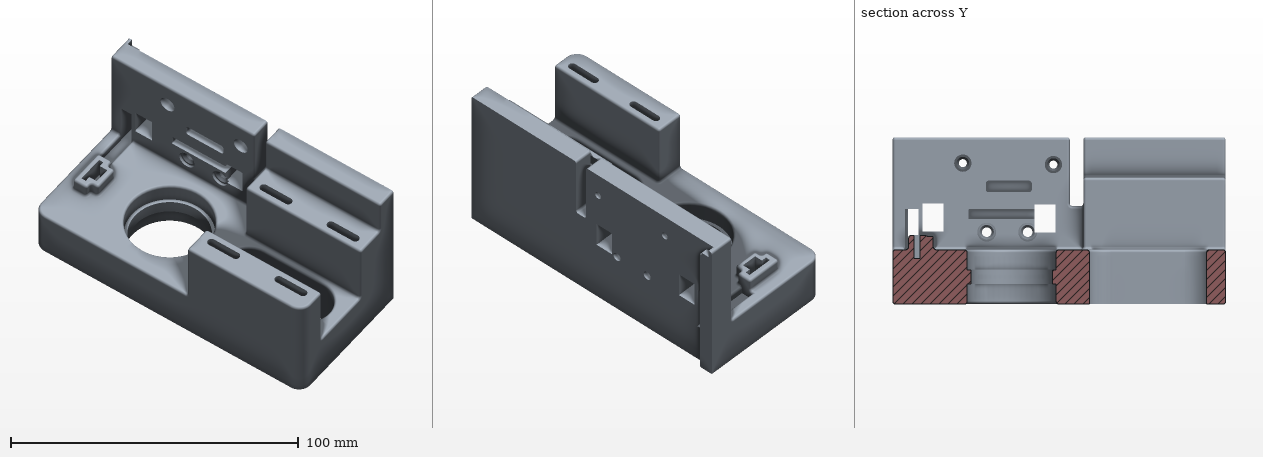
import cadquery as cq

LENGTH = 115.89
DEPTH = 56.5
HEIGHT = 58.0
BASE_TOP = 19.0
CORNER_RADIUS = 5.0
EDGE_RADIUS = 1.0
TOLERANCE = 0.01

WALL_FRONT = 46.0
WALL_BACK = 54.0
NOTCH_LEFT = 61.7
NOTCH_FLOOR = 34.05

FLANGE_WIDTH = 5.5
FLANGE_LIP = 1.5
FLANGE_LEDGE = 4.75
FLANGE_LEDGE_TOP = 55.0
FLANGE_STEP_TOP = 54.0

BLOCK_LENGTH = 49.5
BLOCK_LEFT = LENGTH - BLOCK_LENGTH
BLOCK_TOP = 44.0
BLOCK_WIDTH = 11.5
CHANNEL_CENTER = 2 * BLOCK_WIDTH
REAR_BLOCK_FRONT = 3 * BLOCK_WIDTH

STRAP_SLOT_LENGTH = 13.5
STRAP_SLOT_WIDTH = 3.0
STRAP_SLOT_XS = (76.65, 105.55)
STRAP_SLOT_OFFSET = 15.45

RING_CENTER = (41.4, 24.0)
RING_DIAMETER = 32.0
RING_LIP_DIAMETER = 29.5
RING_RECESS_DEPTH = 7.0
OVAL_WIDTH = 18.0
OVAL_LENGTH = 44.0
OVAL_CENTER_X = 88.8

HOUSING_LEFT = 5.5
HOUSING_HEIGHT = 5.0
HOUSING_TOP = BASE_TOP + HOUSING_HEIGHT
HOUSING_CENTER_Y = 23.55
HOUSING_BODY = (5.9, 15.0)
HOUSING_NOSE = (3.1, 10.0)
POCKET_LEFT = 7.6
POCKET_BODY = (1.85, 10.4)
POCKET_NOSE = (3.2, 6.2)

GROOVE_LEFT = 4.35
GROOVE_RIGHT = 9.1
GROOVE_FLOOR = 16.0
CABLE_WINDOW_TOP = 33.1

WINDOW_SIZE = (7.3, 9.8)
WINDOW_CORNERS = ((10.5, 25.2), (49.4, 24.8))

RECESS_DEPTH = 5.0
UPPER_RECESS = (32.5, 38.9, 16.0, 4.0)
UPPER_RECESS_RADIUS = 1.0
LOWER_RECESS = (26.4, 29.5, 24.0, 3.6)
LOWER_RECESS_RADIUS = 0.5

UPPER_SCREWS = ((24.5, 49.0), (56.0, 48.5))
UPPER_SCREW_SHAPE = dict(bore=2.77, cone=4.4, head=6.0, head_depth=5.0)
LOWER_SCREWS = ((32.8, 25.0), (47.05, 25.0))
LOWER_SCREW_SHAPE = dict(bore=3.32, cone=5.0, head=6.5, head_depth=1.0)
CONE_DEPTH = 1.0


def box(x0, x1, y0, y1, z0, z1):
    """Box between opposite corners."""
    return cq.Workplane("XY").box(x1 - x0, y1 - y0, z1 - z0, centered=False).translate((x0, y0, z0))


def make_t_prism(left, body_size, nose_size, z0, z1):
    """T-shaped prism: a wide body with a narrower nose on its right; sizes are along (X, Y)."""
    body_length, body_width = body_size
    nose_length, nose_width = nose_size
    body_right = left + body_length
    nose_right = body_right + nose_length
    center = HOUSING_CENTER_Y
    body = box(left, body_right, center - body_width / 2, center + body_width / 2, z0, z1)
    nose = box(left, nose_right, center - nose_width / 2, center + nose_width / 2, z0, z1)
    return body.union(nose)


def make_sharp_body():
    """Base, wall, flange, blocks, housing and cable groove before edge rounding."""
    body = box(0, LENGTH, 0, WALL_BACK, 0, BASE_TOP)
    body = body.union(box(0, NOTCH_LEFT, WALL_FRONT, WALL_BACK, 0, HEIGHT))
    body = body.union(box(NOTCH_LEFT, BLOCK_LEFT, WALL_FRONT, WALL_BACK, 0, NOTCH_FLOOR))
    body = body.union(box(BLOCK_LEFT, LENGTH, WALL_FRONT, WALL_BACK, 0, HEIGHT))
    body = body.union(box(0, FLANGE_WIDTH, WALL_FRONT, DEPTH, 0, HEIGHT))
    body = body.union(box(BLOCK_LEFT, LENGTH, 0, BLOCK_WIDTH, 0, BLOCK_TOP))
    body = body.union(box(BLOCK_LEFT, LENGTH, REAR_BLOCK_FRONT, WALL_FRONT, 0, BLOCK_TOP))
    body = body.clean()
    body = body.edges("(|Z and <Y) and (<X or >X)").fillet(CORNER_RADIUS)
    housing = make_t_prism(HOUSING_LEFT, HOUSING_BODY, HOUSING_NOSE, 0, HOUSING_TOP)
    body = body.union(housing)
    groove_end = HOUSING_CENTER_Y + HOUSING_BODY[1] / 2
    return body.cut(box(GROOVE_LEFT, GROOVE_RIGHT, groove_end, WALL_FRONT, GROOVE_FLOOR, BASE_TOP))


def should_round(edge):
    """True for edges around the bottom, or above the base top and ahead of the wall's back face."""
    bounds = edge.BoundingBox()
    on_bottom = bounds.zmax < TOLERANCE
    above_base = bounds.zmin > BASE_TOP - TOLERANCE
    on_back = bounds.ymin > WALL_BACK - TOLERANCE
    return on_bottom or (above_base and not on_back)


def round_edges(body):
    """Round convex edges and inside corners alike with one radius."""
    edges = [edge for edge in body.edges().vals() if should_round(edge)]
    return body.newObject(edges).fillet(EDGE_RADIUS)


def make_flange_step():
    """Space above the stepped top of the flange, beside its full-height lip."""
    ledge = box(FLANGE_LIP, FLANGE_LEDGE, WALL_BACK, DEPTH, FLANGE_LEDGE_TOP, HEIGHT)
    step = box(FLANGE_LEDGE, FLANGE_WIDTH, WALL_BACK, DEPTH, FLANGE_STEP_TOP, HEIGHT)
    return ledge.union(step)


def cut_ring_hole(body):
    """Rounded recesses from the top and bottom that leave a narrower lip between them."""
    x, y = RING_CENTER
    lip = cq.Workplane("XY", origin=(x, y, 0)).circle(RING_LIP_DIAMETER / 2).extrude(BASE_TOP)
    recess = cq.Workplane("XY", origin=(x, y, 0)).circle(RING_DIAMETER / 2).extrude(RING_RECESS_DEPTH)
    body = body.cut(recess.translate((0, 0, BASE_TOP - RING_RECESS_DEPTH)))
    body = body.cut(recess)
    body = round_rim(body, x, y, BASE_TOP)
    body = round_rim(body, x, y, 0)
    return body.cut(lip)


def cut_oval_hole(body):
    """Long through hole, rounded at its top, between the two blocks."""
    oval = (
        cq.Workplane("XY", origin=(OVAL_CENTER_X, CHANNEL_CENTER, 0))
        .slot2D(OVAL_LENGTH, OVAL_WIDTH)
        .extrude(BASE_TOP)
    )
    return round_rim(body.cut(oval), OVAL_CENTER_X, CHANNEL_CENTER, BASE_TOP)


def round_rim(body, x, y, z):
    """Round the rim, at one height, of the ring hole or the oval hole centered on (x, y).

    The search box holds the midpoint of the circular rim, or of the oval's straight sides,
    and stops short of the feet of the blocks.
    """
    reach = OVAL_WIDTH / 2 + TOLERANCE
    rim = cq.selectors.BoxSelector(
        (x - reach, y - reach, z - TOLERANCE), (x + reach, y + reach, z + TOLERANCE)
    )
    return body.edges(rim).fillet(EDGE_RADIUS)


def make_strap_slots():
    """Vertical slots through the two blocks and the base."""
    centers = [(x, CHANNEL_CENTER + side * STRAP_SLOT_OFFSET) for x in STRAP_SLOT_XS for side in (-1, 1)]
    return (
        cq.Workplane("XY")
        .pushPoints(centers)
        .slot2D(STRAP_SLOT_LENGTH, STRAP_SLOT_WIDTH)
        .extrude(BLOCK_TOP)
    )


def make_wall_openings():
    """Cable window and rectangular windows through the wall."""
    foot_front = WALL_FRONT - EDGE_RADIUS
    openings = box(GROOVE_LEFT, GROOVE_RIGHT, foot_front, WALL_BACK, GROOVE_FLOOR, CABLE_WINDOW_TOP)
    width, height = WINDOW_SIZE
    for left, bottom in WINDOW_CORNERS:
        openings = openings.union(box(left, left + width, WALL_FRONT, WALL_BACK, bottom, bottom + height))
    return openings


def make_recess(left, bottom, width, height, radius):
    """Blind recess with rounded ends in the front of the wall."""
    recess = box(left, left + width, WALL_FRONT, WALL_FRONT + RECESS_DEPTH, bottom, bottom + height)
    return recess.edges("|Y").fillet(radius)


def make_screw_hole(x, z, bore, cone, head, head_depth):
    """Through bore, conical lead-in and cylindrical head recess, revolved about Y."""
    cone_end = WALL_FRONT + head_depth + CONE_DEPTH
    return (
        cq.Workplane("XY")
        .moveTo(0, WALL_FRONT)
        .lineTo(head / 2, WALL_FRONT)
        .lineTo(head / 2, WALL_FRONT + head_depth)
        .lineTo(cone / 2, WALL_FRONT + head_depth)
        .lineTo(bore / 2, cone_end)
        .lineTo(bore / 2, WALL_BACK)
        .lineTo(0, WALL_BACK)
        .close()
        .revolve(360, (0, 0, 0), (0, 1, 0))
        .translate((x, 0, z))
    )


result = round_edges(make_sharp_body())
result = result.cut(make_flange_step())
result = cut_ring_hole(result)
result = cut_oval_hole(result)
result = result.cut(make_strap_slots())
result = result.cut(make_t_prism(POCKET_LEFT, POCKET_BODY, POCKET_NOSE, GROOVE_FLOOR, HOUSING_TOP))
result = result.cut(make_wall_openings())
result = result.cut(make_recess(*UPPER_RECESS, UPPER_RECESS_RADIUS))
result = result.cut(make_recess(*LOWER_RECESS, LOWER_RECESS_RADIUS))
for x, z in UPPER_SCREWS:
    result = result.cut(make_screw_hole(x, z, **UPPER_SCREW_SHAPE))
for x, z in LOWER_SCREWS:
    result = result.cut(make_screw_hole(x, z, **LOWER_SCREW_SHAPE))